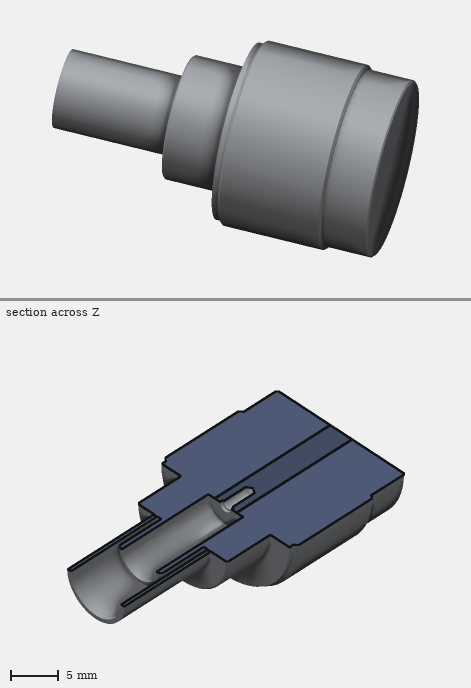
import cadquery as cq
import math

total_length = 36.1

ferrule_length = 12.7
ferrule_outer_radius = 4.25
ferrule_inner_radius = 3.75

stem_start = 6.35
stem_radius = 3.2
stem_chamfer = 0.32
stem_bore_radius = 2.55

neck_radius = 6.7
neck_chamfer = 0.18

sleeve_start = 19.05
sleeve_radius = 9.55
sleeve_chamfer = 0.18
band_start = 19.75
band_end = 31.12
band_radius = 10.0
band_chamfer = 0.3

contact_start = sleeve_start
contact_radius = 1.6
contact_bore_radius = 0.65
contact_bore_depth = 3.6
contact_mouth_radius = 0.83
contact_mouth_depth = 0.35
drill_point_angle = 118.0


def cylinder(start, end, radius):
    """Solid cylinder on the X axis between two X positions."""
    return cq.Workplane("YZ", origin=(start, 0, 0)).circle(radius).extrude(end - start)


def make_ferrule():
    tube = cylinder(0, ferrule_length, ferrule_outer_radius)
    return tube.cut(cylinder(0, ferrule_length, ferrule_inner_radius))


def make_housing():
    stem = cylinder(stem_start, ferrule_length, stem_radius)
    stem = stem.faces("<X").chamfer(stem_chamfer)
    neck = cylinder(ferrule_length, sleeve_start, neck_radius)
    neck = neck.faces("<X").chamfer(neck_chamfer)
    sleeve = cylinder(sleeve_start, total_length, sleeve_radius)
    sleeve = sleeve.faces(">X").chamfer(sleeve_chamfer)
    band = cylinder(band_start, band_end, band_radius)
    band = band.faces("<X or >X").chamfer(band_chamfer)
    housing = stem.union(neck).union(sleeve).union(band)

    stem_bore = cylinder(stem_start, contact_start, stem_bore_radius)
    contact_seat = cylinder(contact_start, total_length, contact_radius)
    return housing.cut(stem_bore).cut(contact_seat)


def make_contact():
    """Round contact with a stepped solder bore that ends in a drill point."""
    bore_end = contact_start + contact_bore_depth
    mouth_end = contact_start + contact_mouth_depth
    drill_tip = bore_end + contact_bore_radius / math.tan(math.radians(drill_point_angle / 2))
    half_bore = (
        cq.Workplane("XY")
        .moveTo(contact_start, 0)
        .lineTo(contact_start, contact_mouth_radius)
        .lineTo(mouth_end, contact_mouth_radius)
        .lineTo(mouth_end, contact_bore_radius)
        .lineTo(bore_end, contact_bore_radius)
        .lineTo(drill_tip, 0)
        .close()
    )
    bore = half_bore.revolve(360, (0, 0, 0), (1, 0, 0))
    return cylinder(contact_start, total_length, contact_radius).cut(bore)


ferrule = make_ferrule()
housing = make_housing()
contact = make_contact()

result = cq.Compound.makeCompound([ferrule.val(), housing.val(), contact.val()])